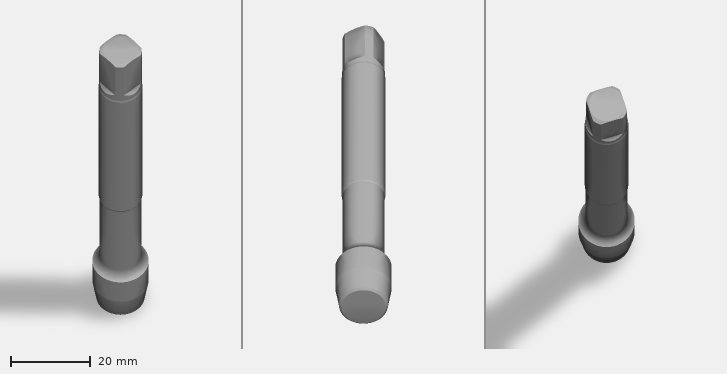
import cadquery as cq
import math

total_height = 100.0
head_diameter = 14.2
neck_diameter = 10.5
shank_diameter = 11.0
drive_diameter = 10.7

tip_diameter = 12.3
tip_face_diameter = 11.2
tip_chamfer_height = 0.5
taper_top = 7.0
head_top = 14.8

blend_radius = 2.9
shank_bottom = 41.1
shank_bottom_chamfer = 0.5
shank_top = 86.1
shank_top_chamfer = 0.6

square_width = 9.0
flat_bottom = 88.3
flat_runout_slope = 1.0
crown_diameter = 8.8
crown_height = 0.4

head_radius = head_diameter / 2
neck_radius = neck_diameter / 2
shank_radius = shank_diameter / 2
drive_radius = drive_diameter / 2
tip_radius = tip_diameter / 2
crown_radius = crown_diameter / 2


def make_head():
    """Round head with a tapered lead and a small chamfer at the tip."""
    return (
        cq.Workplane("XZ")
        .lineTo(tip_face_diameter / 2, 0)
        .lineTo(tip_radius, tip_chamfer_height)
        .lineTo(head_radius, taper_top)
        .lineTo(head_radius, head_top)
        .lineTo(0, head_top)
        .close()
        .revolve()
    )


def make_turned_shank():
    """Turned neck, shank and drive end, standing on the top face of the head."""
    blend_width = head_radius - neck_radius
    blend_height = math.sqrt(blend_radius**2 - (blend_radius - blend_width) ** 2)
    blend_top = head_top + blend_height
    blend_center = neck_radius + blend_radius
    half_angle = math.asin(blend_height / blend_radius) / 2
    blend_middle = (
        blend_center - blend_radius * math.cos(half_angle),
        blend_top - blend_radius * math.sin(half_angle),
    )
    return (
        cq.Workplane("XZ")
        .moveTo(0, head_top)
        .lineTo(head_radius, head_top)
        .threePointArc(blend_middle, (neck_radius, blend_top))
        .lineTo(neck_radius, shank_bottom)
        .lineTo(shank_radius, shank_bottom + shank_bottom_chamfer)
        .lineTo(shank_radius, shank_top - shank_top_chamfer)
        .lineTo(drive_radius, shank_top)
        .lineTo(drive_radius, total_height - crown_height)
        .lineTo(crown_radius, total_height)
        .lineTo(0, total_height)
        .close()
        .revolve()
    )


def make_flat_cutter():
    """Material outside one drive flat, with a floor sloping down and outward."""
    inner = square_width / 2
    outer = shank_diameter
    runout_bottom = flat_bottom - (outer - inner) * flat_runout_slope
    return (
        cq.Workplane("XZ")
        .moveTo(inner, flat_bottom)
        .lineTo(outer, runout_bottom)
        .lineTo(outer, total_height)
        .lineTo(inner, total_height)
        .close()
        .extrude(shank_radius, both=True)
    )


def make_shank():
    """Turned shank with four flats forming the square drive."""
    shank = make_turned_shank()
    flat_cutter = make_flat_cutter()
    flat_count = 4
    for index in range(flat_count):
        angle = index * 360 / flat_count
        shank = shank.cut(flat_cutter.rotate((0, 0, 0), (0, 0, 1), angle))
    return shank


head = make_head()
shank = make_shank()

result = cq.Compound.makeCompound([head.val(), shank.val()])